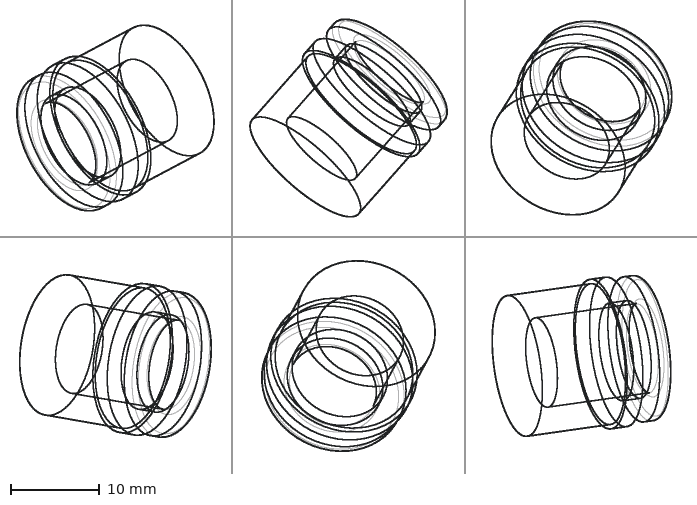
import cadquery as cq

head_length = 1.5
groove_length = 2.1
collar_length = 1.9
body_length = 10.0

head_diameter = 16.5
groove_diameter = 11.1
collar_diameter = 17.0
body_diameter = 16.0

bore_diameter = 10.15
floor_thickness = (body_diameter - bore_diameter) / 2
total_length = head_length + groove_length + collar_length + body_length
bore_depth = total_length - floor_thickness

edge_radius = 0.5


def cylinder_along_y(diameter, start, length):
    """Cylinder about the Y axis, from Y = start to Y = start + length."""
    base = cq.Workplane("XZ", origin=(0, start, 0))
    return base.circle(diameter / 2).extrude(-length)


def stepped_body():
    """Head, groove, collar and body stacked along +Y."""
    steps = [
        (head_diameter, head_length),
        (groove_diameter, groove_length),
        (collar_diameter, collar_length),
        (body_diameter, body_length),
    ]
    solid = cq.Workplane("XZ")
    start = 0
    for diameter, length in steps:
        solid = solid.union(cylinder_along_y(diameter, start, length))
        start += length
    return solid


def cut_bore(solid):
    """Flat-bottomed bore from the head face."""
    return solid.cut(cylinder_along_y(bore_diameter, 0, bore_depth))


def round_head_face(solid):
    """Round both circular edges of the head face."""
    return solid.faces("<Y").edges().fillet(edge_radius)


result = round_head_face(cut_bore(stepped_body()))